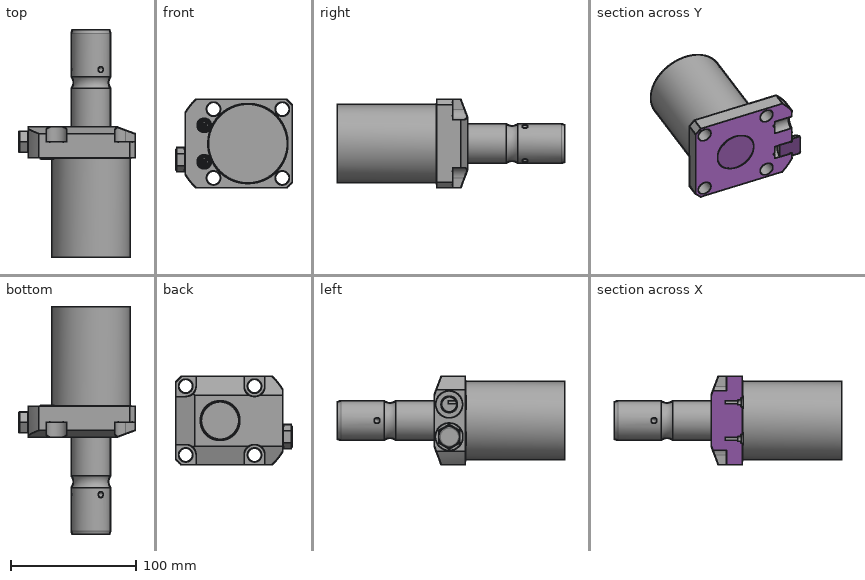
import cadquery as cq
import math


TOTAL_LENGTH = 181.9
BARREL_LENGTH = 79.5
FLANGE_THICKNESS = 25.0
ROD_END_Y = TOTAL_LENGTH - BARREL_LENGTH

BARREL_RADIUS = 31.5
COLLAR_RADIUS = 32.0
COLLAR_HEIGHT = 0.4

FLANGE_HALF = 35.5
FLANGE_LEFT_X = -50.2
RIGHT_CHAMFER = 4.5
LEFT_ARC_RADIUS = 54.5
LEFT_ARC_X = -41.5
LEFT_ARC_Z = 24.5

BEVEL_START = 20.4
BEVEL_DROP = 5.6

BOLT_OFFSET = 27.5
BOLT_HOLE_DIAMETER = 11.0
BOLT_SEAT_WIDTH = 16.5
BOLT_SEAT_Y = 12.7

PORT_Y = 13.0
PORT_Z = 13.0
PORT_DIAMETER = 12.0
PORT_CHAMFER = 0.5
PORT_CHAMFER_LENGTH = 1.1
OPEN_SPOTFACE_DIAMETER = 21.5
PLUG_SPOTFACE_DIAMETER = 22.0
SPOTFACE_DEPTH = 0.2

THROTTLE_X = -35.0
THROTTLE_Z = 14.5
THROTTLE_HEIGHT = 1.0
THROTTLE_RADIUS = 5.6
THROTTLE_CREST_RADIUS = 4.5
THROTTLE_EDGE_RADIUS = 1.3
FUNNEL_FLOOR_RADIUS = 3.3
FUNNEL_DEPTH = 1.8
SOCKET_RADIUS = 1.8
SOCKET_DEPTH = 2.7
PASSAGE_RADIUS = 1.1
PASSAGE_END_Y = 13.5

ROD_RADIUS = 15.8
ROD_TAPER_LENGTH = 3.0
ROD_TAPER_DEPTH = 1.0
GROOVE_Y = 60.2
GROOVE_WIDTH = 9.5
GROOVE_DEPTH = 1.6
DIMPLE_Y = 70.5
DIMPLE_RADIUS = 2.4
DIMPLE_ANGLES = (60, 180, 300)

PLUG_END_X = -57.7
HEX_ACROSS_FLATS = 17.0
HEX_CORNER_RADIUS = HEX_ACROSS_FLATS / math.sqrt(3)
CROWN_RADIUS = 8.4
CROWN_END_RADIUS = 7.3
CROWN_HEIGHT = 0.7
CROWN_EDGE_RADIUS = 1.3
NECK_HEIGHT = 0.4
NECK_RADIUS = 8.0
SHANK_LENGTH = 11.0

PORT_DEPTH = THROTTLE_X - FLANGE_LEFT_X


def cylinder(radius, length, start, direction):
    """Solid cylinder that runs from a start point along a direction."""
    return cq.Workplane(obj=cq.Solid.makeCylinder(radius, length, cq.Vector(*start), cq.Vector(*direction)))


def flange_plate():
    """Flange plate with two chamfered and two rounded corners."""
    outline = (
        cq.Workplane("XZ")
        .moveTo(LEFT_ARC_X, FLANGE_HALF)
        .lineTo(FLANGE_HALF - RIGHT_CHAMFER, FLANGE_HALF)
        .lineTo(FLANGE_HALF, FLANGE_HALF - RIGHT_CHAMFER)
        .lineTo(FLANGE_HALF, -FLANGE_HALF + RIGHT_CHAMFER)
        .lineTo(FLANGE_HALF - RIGHT_CHAMFER, -FLANGE_HALF)
        .lineTo(LEFT_ARC_X, -FLANGE_HALF)
        .radiusArc((FLANGE_LEFT_X, -LEFT_ARC_Z), LEFT_ARC_RADIUS)
        .lineTo(FLANGE_LEFT_X, LEFT_ARC_Z)
        .radiusArc((LEFT_ARC_X, FLANGE_HALF), LEFT_ARC_RADIUS)
        .close()
    )
    return outline.extrude(-FLANGE_THICKNESS)


def bevel_cutter(angle):
    """Wedge that slopes the rod side of the flange; angle 0 faces +X, 90 faces up."""
    wedge = (
        cq.Workplane("XY")
        .moveTo(BEVEL_START, FLANGE_THICKNESS)
        .lineTo(FLANGE_HALF, FLANGE_THICKNESS - BEVEL_DROP)
        .lineTo(FLANGE_HALF, FLANGE_THICKNESS)
        .close()
        .extrude(-2 * FLANGE_LEFT_X, both=True)
    )
    return wedge.rotate((0, 0, 0), (0, 1, 0), -angle)


def bolt_seat_cutter(x, side):
    """Seat around a bolt: a slot open to the side, or to both sides at the +X corners."""
    depth = FLANGE_THICKNESS - BOLT_SEAT_Y
    half_width = BOLT_SEAT_WIDTH / 2
    z = side * BOLT_OFFSET
    seat = cylinder(half_width, depth, (x, BOLT_SEAT_Y, z), (0, 1, 0))
    slot = cq.Workplane("XY").box(BOLT_SEAT_WIDTH, depth, BOLT_SEAT_WIDTH, centered=(True, False, True))
    seat = seat.union(slot.translate((x, BOLT_SEAT_Y, z + side * half_width)))
    if x > 0:
        seat = seat.union(slot.translate((x + half_width, BOLT_SEAT_Y, z)))
        seat = seat.union(slot.translate((x + half_width, BOLT_SEAT_Y, z + side * half_width)))
    return seat


def port_cutter(z, spotface_diameter):
    """Stepped port with spotface and mouth chamfer, bored in from the -X face."""
    radius = PORT_DIAMETER / 2
    mouth = SPOTFACE_DEPTH
    return (
        cq.Workplane("XY")
        .moveTo(0, 0)
        .lineTo(0, spotface_diameter / 2)
        .lineTo(mouth, spotface_diameter / 2)
        .lineTo(mouth, radius + PORT_CHAMFER)
        .lineTo(mouth + PORT_CHAMFER_LENGTH, radius)
        .lineTo(PORT_DEPTH, radius)
        .lineTo(PORT_DEPTH, 0)
        .close()
        .revolve(360, (0, 0, 0), (1, 0, 0))
        .translate((FLANGE_LEFT_X, PORT_Y, z))
    )


def throttle_boss(z):
    """Low round boss with a rounded rim that stands on the flange face."""
    crest = THROTTLE_HEIGHT
    return (
        cq.Workplane("XY")
        .lineTo(THROTTLE_RADIUS, 0)
        .radiusArc((THROTTLE_CREST_RADIUS, -crest), THROTTLE_EDGE_RADIUS)
        .lineTo(0, -crest)
        .close()
        .revolve(360, (0, 0, 0), (0, 1, 0))
        .translate((THROTTLE_X, 0, z))
    )


def throttle_cutter(z):
    """Funnel, socket and narrow passage that leads to the port."""
    crest = -THROTTLE_HEIGHT
    floor = crest + FUNNEL_DEPTH
    socket_end = floor + SOCKET_DEPTH
    return (
        cq.Workplane("XY")
        .moveTo(0, crest)
        .lineTo(THROTTLE_CREST_RADIUS, crest)
        .lineTo(FUNNEL_FLOOR_RADIUS, floor)
        .lineTo(SOCKET_RADIUS, floor)
        .lineTo(SOCKET_RADIUS, socket_end)
        .lineTo(PASSAGE_RADIUS, socket_end)
        .lineTo(PASSAGE_RADIUS, PASSAGE_END_Y)
        .lineTo(0, PASSAGE_END_Y)
        .close()
        .revolve(360, (0, 0, 0), (0, 1, 0))
        .translate((THROTTLE_X, 0, z))
    )


def make_housing():
    """Flange and barrel in one piece, with all bores."""
    body = flange_plate()
    for angle in (0, 90, -90):
        body = body.cut(bevel_cutter(angle))
    body = body.union(cylinder(BARREL_RADIUS, BARREL_LENGTH, (0, 0, 0), (0, -1, 0)))
    body = body.union(cylinder(COLLAR_RADIUS, COLLAR_HEIGHT, (0, 0, 0), (0, -1, 0)))
    for side in (-1, 1):
        body = body.union(throttle_boss(side * THROTTLE_Z))
        body = body.cut(throttle_cutter(side * THROTTLE_Z))
        for x in (-BOLT_OFFSET, BOLT_OFFSET):
            start = (x, 0, side * BOLT_OFFSET)
            body = body.cut(cylinder(BOLT_HOLE_DIAMETER / 2, FLANGE_THICKNESS, start, (0, 1, 0)))
            body = body.cut(bolt_seat_cutter(x, side))
    body = body.cut(port_cutter(PORT_Z, OPEN_SPOTFACE_DIAMETER))
    body = body.cut(port_cutter(-PORT_Z, PLUG_SPOTFACE_DIAMETER))
    return body.cut(cylinder(ROD_RADIUS, FLANGE_THICKNESS, (0, 0, 0), (0, 1, 0)))


def make_rod():
    """Piston rod with a tapered end, a round-bottomed groove and conical dimples."""
    rod = (
        cq.Workplane("XY")
        .lineTo(ROD_RADIUS, 0)
        .lineTo(ROD_RADIUS, GROOVE_Y - GROOVE_WIDTH / 2)
        .threePointArc((ROD_RADIUS - GROOVE_DEPTH, GROOVE_Y), (ROD_RADIUS, GROOVE_Y + GROOVE_WIDTH / 2))
        .lineTo(ROD_RADIUS, ROD_END_Y - ROD_TAPER_LENGTH)
        .lineTo(ROD_RADIUS - ROD_TAPER_DEPTH, ROD_END_Y)
        .lineTo(0, ROD_END_Y)
        .close()
        .revolve(360, (0, 0, 0), (0, 1, 0))
    )
    for angle in DIMPLE_ANGLES:
        outward = cq.Vector(math.cos(math.radians(angle)), 0, math.sin(math.radians(angle)))
        mouth = outward * ROD_RADIUS + cq.Vector(0, DIMPLE_Y, 0)
        rod = rod.cut(cq.Workplane(obj=cq.Solid.makeCone(DIMPLE_RADIUS, 0, DIMPLE_RADIUS, mouth, outward * -1)))
    return rod


def make_plug():
    """Screw plug for the lower port: hexagon head, low round crown, neck and shank."""
    seat_x = FLANGE_LEFT_X + SPOTFACE_DEPTH
    head_x = FLANGE_LEFT_X - NECK_HEIGHT
    hex_end_x = PLUG_END_X + CROWN_HEIGHT
    head = (
        cq.Workplane("YZ", origin=(hex_end_x, 0, 0))
        .polygon(6, 2 * HEX_CORNER_RADIUS)
        .extrude(head_x - hex_end_x)
        .rotate((0, 0, 0), (1, 0, 0), 90)
    )
    crown = (
        cq.Workplane("XY")
        .moveTo(PLUG_END_X, 0)
        .lineTo(PLUG_END_X, CROWN_END_RADIUS)
        .radiusArc((hex_end_x, CROWN_RADIUS), CROWN_EDGE_RADIUS)
        .lineTo(hex_end_x, 0)
        .close()
        .revolve(360, (0, 0, 0), (1, 0, 0))
    )
    neck = cylinder(NECK_RADIUS, seat_x - head_x, (head_x, 0, 0), (1, 0, 0))
    shank = cylinder(PORT_DIAMETER / 2, SHANK_LENGTH, (seat_x, 0, 0), (1, 0, 0))
    return head.union(crown).union(neck).union(shank).translate((0, PORT_Y, -PORT_Z))


housing = make_housing()
rod = make_rod()
plug = make_plug()

result = cq.Compound.makeCompound([housing.val(), rod.val(), plug.val()])